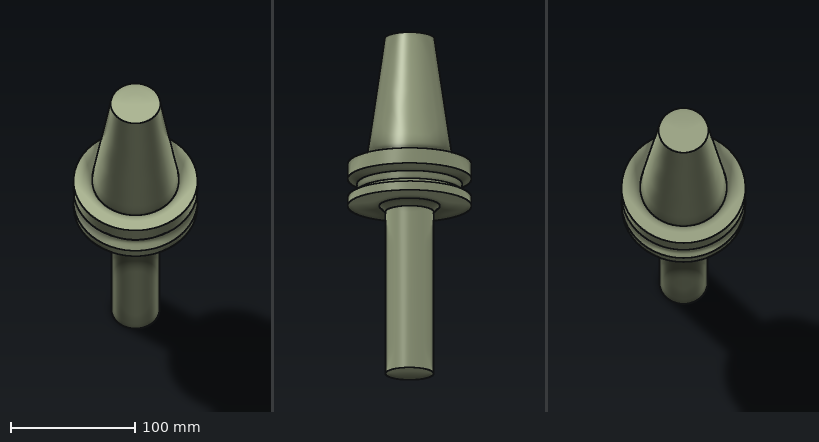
import cadquery as cq
import math

taper_length = 101.8
gauge_to_flange = 3.0
flange_thickness = 35.0
shank_length = 140.0
transition_height = 5.0

gauge_diameter = 69.85
taper_ratio = 7 / 24
flange_diameter = 100.0
groove_floor_diameter = 85.0
shank_diameter = 39.0

groove_center_depth = 20.1
groove_mouth_width = 15.1
groove_included_angle = 60.0

taper_tip_radius = (gauge_diameter - taper_length * taper_ratio) / 2
gauge_radius = gauge_diameter / 2
flange_radius = flange_diameter / 2
groove_floor_radius = groove_floor_diameter / 2
shank_radius = shank_diameter / 2
transition_radius = shank_radius + transition_height

flange_top_z = -gauge_to_flange
flange_bottom_z = flange_top_z - flange_thickness
shank_end_z = flange_bottom_z - shank_length


def revolve_profile(points):
    """Turn a closed (radius, z) outline about the Z axis."""
    return cq.Workplane("XZ").polyline(points).close().revolve(360, (0, 0, 0), (0, 1, 0))


def make_taper():
    """Steep cone with the short straight neck that joins it to the flange."""
    return revolve_profile([
        (0, taper_length),
        (taper_tip_radius, taper_length),
        (gauge_radius, 0),
        (gauge_radius, flange_top_z),
        (0, flange_top_z),
    ])


def make_flange():
    """Flange disc with a flat-bottomed V-groove around its rim."""
    groove_depth = flange_radius - groove_floor_radius
    flank_height = groove_depth * math.tan(math.radians(groove_included_angle / 2))
    groove_center_z = flange_top_z - groove_center_depth
    mouth_half_width = groove_mouth_width / 2
    floor_half_width = mouth_half_width - flank_height

    disc = revolve_profile([
        (0, flange_top_z),
        (flange_radius, flange_top_z),
        (flange_radius, flange_bottom_z),
        (0, flange_bottom_z),
    ])
    groove = revolve_profile([
        (flange_radius, groove_center_z + mouth_half_width),
        (groove_floor_radius, groove_center_z + floor_half_width),
        (groove_floor_radius, groove_center_z - floor_half_width),
        (flange_radius, groove_center_z - mouth_half_width),
    ])
    return disc.cut(groove)


def make_shank():
    """Cylindrical shank with a conical transition under the flange."""
    return revolve_profile([
        (0, flange_bottom_z),
        (transition_radius, flange_bottom_z),
        (shank_radius, flange_bottom_z - transition_height),
        (shank_radius, shank_end_z),
        (0, shank_end_z),
    ])


result = make_taper().union(make_flange()).union(make_shank())